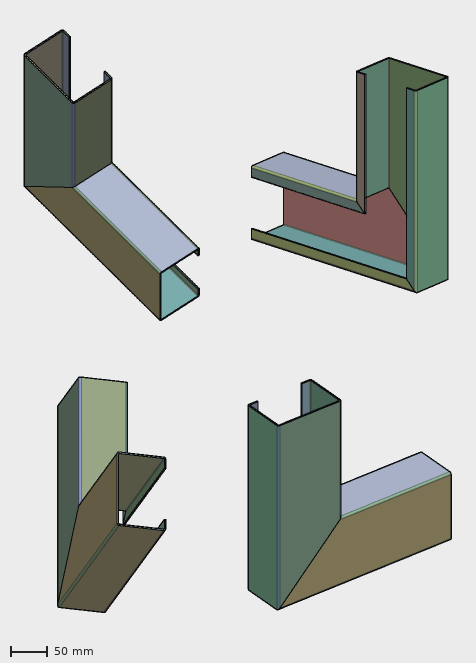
import cadquery as cq

length = 300.0
width = 110.0
depth = 70.0
wall = 2.3
inner_bend_radius = 0.8
lip_length = 16.8

opening_width = width - 2 * lip_length
bend_radius = inner_bend_radius + wall


def channel():
    """Lipped channel standing along Z, open towards +Y."""
    outer = cq.Workplane("XY").box(width, depth, length, centered=False).edges("|Z").fillet(bend_radius)
    cavity = (
        cq.Workplane("XY")
        .box(width - 2 * wall, depth - 2 * wall, length, centered=False)
        .edges("|Z")
        .fillet(inner_bend_radius)
        .translate((wall, wall, 0))
    )
    opening = (
        cq.Workplane("XY")
        .box(opening_width, depth / 2, length, centered=False)
        .translate((lip_length, depth / 2, 0))
    )
    return outer.cut(cavity).cut(opening)


def upright_leg():
    """Channel along Z, keeping the part above the 45 degree mitre plane X = Z."""
    above_mitre = (
        cq.Workplane("XZ")
        .polyline([(0, 0), (length, length), (0, length)])
        .close()
        .extrude(-depth)
    )
    return channel().intersect(above_mitre)


def horizontal_leg(upright):
    """Mirror image of the upright leg across the mitre plane, lying along X."""
    swapped = upright.rotate((0, 0, 0), (0, 1, 0), 90)
    return swapped.mirror("XY")


upright = upright_leg()
horizontal = horizontal_leg(upright)

result = cq.Compound.makeCompound([upright.val(), horizontal.val()])